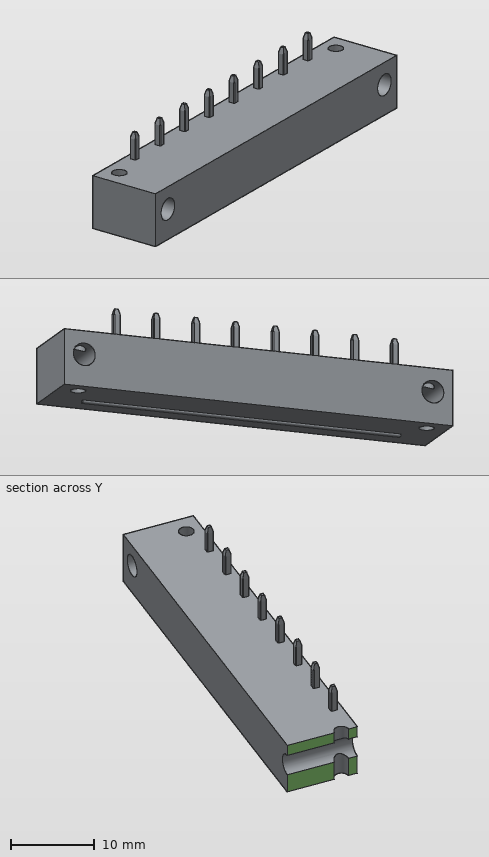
import cadquery as cq

body_width = 9.2
body_length = 49.65
body_height = 6.9

pin_count = 8
pin_row_length = 35.55
pin_pitch = pin_row_length / (pin_count - 1)
pin_width = 0.85
pin_height = 3.45
pin_corner_chamfer = 0.1
pin_tip_width = 0.4
pin_tip_height = 0.8
pin_x = 1.15

hole_spacing = 44.55
upright_hole_diameter = 1.85
upright_hole_x = 2.1
cross_hole_diameter = 2.8
cross_hole_depth_below_top = 2.95

rib_x = 5.5
rib_width = 0.5
rib_length = 40.6
rib_height = 0.3
rib_edge_radius = 0.15

hole_ys = (-hole_spacing / 2, hole_spacing / 2)


def make_body():
    """Block with its -X face at X = 0 and its bottom face at Z = 0."""
    return cq.Workplane("XY").box(body_width, body_length, body_height, centered=(False, True, False))


def make_pin(y):
    """Square pin standing on the top face, with chamfered corners and a tapered tip."""
    shank_height = pin_height - pin_tip_height
    shank = (
        cq.Workplane("XY", origin=(pin_x, y, body_height))
        .rect(pin_width, pin_width)
        .extrude(shank_height)
    )
    tip = (
        cq.Workplane("XY", origin=(pin_x, y, body_height + shank_height))
        .rect(pin_width, pin_width)
        .workplane(offset=pin_tip_height)
        .rect(pin_tip_width, pin_tip_width)
        .loft(ruled=True)
    )
    corner_envelope = (
        cq.Workplane("XY", origin=(pin_x, y, body_height))
        .rect(pin_width, pin_width)
        .extrude(pin_height)
        .edges("|Z")
        .chamfer(pin_corner_chamfer)
    )
    return shank.union(tip).intersect(corner_envelope)


def make_rib():
    """Rib hanging below the bottom face, its lower -X edge rounded."""
    return (
        cq.Workplane("XY", origin=(rib_x, 0, -rib_height))
        .box(rib_width, rib_length, rib_height, centered=(False, True, False))
        .edges("|Y and <Z")
        .edges("<X")
        .fillet(rib_edge_radius)
    )


def make_upright_hole(y):
    """Vertical hole through the full height."""
    return (
        cq.Workplane("XY", origin=(upright_hole_x, y, 0))
        .circle(upright_hole_diameter / 2)
        .extrude(body_height)
    )


def make_cross_hole(y):
    """Larger hole through the full width, along X."""
    return (
        cq.Workplane("YZ", origin=(0, y, body_height - cross_hole_depth_below_top))
        .circle(cross_hole_diameter / 2)
        .extrude(body_width)
    )


result = make_body().union(make_rib())
for i in range(pin_count):
    result = result.union(make_pin(i * pin_pitch - pin_row_length / 2))
for hole_y in hole_ys:
    result = result.cut(make_upright_hole(hole_y)).cut(make_cross_hole(hole_y))